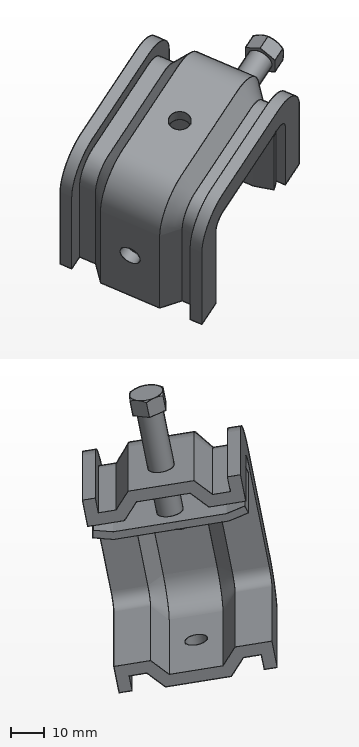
import cadquery as cq
import math

clamp_width = 48.0
sheet_thickness = 4.0
edge_rib_thickness = 4.0
edge_rib_height = 9.0
crown_height = 9.5
crown_width = 20.0
crown_flank_run = 4.7
bend_inner_radius = 4.5
bend_centre_y = 17.5
long_leg = 36.0
short_leg = 29.0
open_hole_diameter = 6.8

bend_z = long_leg
leg_inner_y = bend_centre_y + bend_inner_radius
leg_outer_y = leg_inner_y + crown_height
web_inner_z = bend_z + bend_inner_radius

overall_length = 88.0
bolt_z = 20.0
shank_diameter = 8.0
head_across_flats = 10.0
head_height = 5.5
head_chamfer_angle = 30.0
pin_diameter = 3.6
pin_projection = 0.5

head_end_y = overall_length - leg_outer_y
head_seat_y = head_end_y - head_height

plate_thickness = 2.55
plate_flat_width = 35.0
plate_wing_length = 6.3
plate_wing_angle = 15.0
plate_height = 26.6
pin_hole_diameter = 4.05
plate_bottom_z = 11.9
plate_face_y = 13.9
plate_back_y = plate_face_y + plate_thickness


def mirrored_outline(plane, right_half):
    """Closed outline from its +X half, mirrored about X = 0."""
    left_half = [(-x, v) for x, v in reversed(right_half)]
    return cq.Workplane(plane).polyline(right_half + left_half).close()


def y_cylinder(diameter, start_y, end_y):
    """Cylinder on the bolt axis between two Y positions."""
    plane = cq.Plane(origin=(0, start_y, bolt_z), xDir=(1, 0, 0), normal=(0, 1, 0))
    return cq.Workplane(plane).circle(diameter / 2).extrude(end_y - start_y)


def clamp_section():
    """Sheet cross-section at the foot of the -Y leg, outward being -Y."""
    half_width = clamp_width / 2
    rib_inside_x = half_width - edge_rib_thickness
    crown_x = crown_width / 2
    flank_foot_x = crown_x + crown_flank_run
    crown_inner_height = crown_height - sheet_thickness
    flank_angle = math.atan2(crown_inner_height, crown_flank_run)
    bend_setback = sheet_thickness * math.tan(flank_angle / 2)
    half_outline = [
        (crown_x, crown_height),
        (flank_foot_x, sheet_thickness),
        (rib_inside_x, sheet_thickness),
        (rib_inside_x, edge_rib_height),
        (half_width, edge_rib_height),
        (half_width, 0),
        (flank_foot_x - bend_setback, 0),
        (crown_x - bend_setback, crown_inner_height),
    ]
    points = [(x, -leg_inner_y - height) for x, height in half_outline]
    return mirrored_outline("XY", points)


def clamp_path():
    """Inner U line: up the -Y leg, over the web and down the +Y leg."""
    bend_45 = bend_inner_radius * math.sqrt(0.5)
    return (
        cq.Workplane("YZ")
        .moveTo(-leg_inner_y, 0)
        .lineTo(-leg_inner_y, bend_z)
        .threePointArc((-bend_centre_y - bend_45, bend_z + bend_45), (-bend_centre_y, web_inner_z))
        .lineTo(bend_centre_y, web_inner_z)
        .threePointArc((bend_centre_y + bend_45, bend_z + bend_45), (leg_inner_y, bend_z))
        .lineTo(leg_inner_y, bend_z - short_leg)
    )


def make_clamp():
    body = clamp_section().sweep(clamp_path())
    web_hole = cq.Workplane("XY").workplane(offset=web_inner_z)
    web_hole = web_hole.circle(open_hole_diameter / 2).extrude(crown_height)
    leg_hole = y_cylinder(open_hole_diameter, -leg_outer_y, -leg_inner_y)
    bolt_hole = y_cylinder(shank_diameter, leg_inner_y, leg_outer_y)
    return body.cut(web_hole).cut(leg_hole).cut(bolt_hole)


def make_bolt_head():
    """Hexagon head, points up and down, with its end corners chamfered."""
    across_corners = head_across_flats / math.cos(math.pi / 6)
    plane = cq.Plane(origin=(0, head_seat_y, bolt_z), xDir=(0, 0, 1), normal=(0, 1, 0))
    hexagon = cq.Workplane(plane).polygon(6, across_corners).extrude(head_height)
    flat_radius = head_across_flats / 2
    cone_radius = across_corners
    cone_drop = (cone_radius - flat_radius) * math.tan(math.radians(head_chamfer_angle))
    envelope = (
        cq.Workplane("XY", origin=(0, 0, bolt_z))
        .moveTo(0, head_seat_y)
        .lineTo(cone_radius, head_seat_y)
        .lineTo(cone_radius, head_end_y - cone_drop)
        .lineTo(flat_radius, head_end_y)
        .lineTo(0, head_end_y)
        .close()
        .revolve(360, (0, 0, 0), (0, 1, 0))
    )
    return hexagon.intersect(envelope)


def make_bolt():
    shank = y_cylinder(shank_diameter, plate_back_y, head_seat_y)
    pin = y_cylinder(pin_diameter, plate_face_y - pin_projection, plate_back_y)
    return make_bolt_head().union(shank).union(pin)


def make_pressure_plate():
    angle = math.radians(plate_wing_angle)
    bend_x = plate_flat_width / 2
    tip_x = bend_x + plate_wing_length * math.cos(angle)
    tip_y = plate_face_y + plate_wing_length * math.sin(angle)
    half_outline = [
        (bend_x, plate_face_y),
        (tip_x, tip_y),
        (tip_x - plate_thickness * math.sin(angle), tip_y + plate_thickness * math.cos(angle)),
        (bend_x - plate_thickness * math.tan(angle / 2), plate_back_y),
    ]
    plane = cq.Plane(origin=(0, 0, plate_bottom_z))
    body = mirrored_outline(plane, half_outline).extrude(plate_height)
    return body.cut(y_cylinder(pin_hole_diameter, plate_face_y, plate_back_y))


clamp = make_clamp()
bolt = make_bolt()
pressure_plate = make_pressure_plate()

result = cq.Compound.makeCompound([clamp.val(), bolt.val(), pressure_plate.val()])